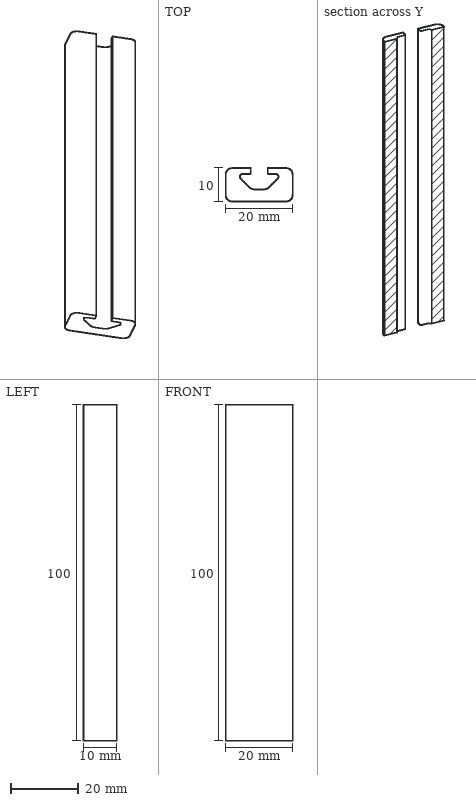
import cadquery as cq

width = 20.0
depth = 10.0
length = 100.0
corner_radius = 2.0

slot_opening = 5.0
lip_thickness = 1.8
lip_radius = 0.35
slot_depth = 6.35
floor_width = 4.6
shoulder_radius = 0.8
floor_radius = 2.5

face_y = depth / 2
shoulder_y = face_y - lip_thickness
floor_y = face_y - slot_depth
shoulder_width = floor_width + 2 * (shoulder_y - floor_y)


def bar():
    """Full-length bar with rounded lengthwise edges."""
    return cq.Workplane("XY").box(width, depth, length).edges("|Z").fillet(corner_radius)


def slot_cavity():
    """Trapezoidal channel behind the lips, with rounded inner corners."""
    outline = [
        (-shoulder_width / 2, shoulder_y),
        (-floor_width / 2, floor_y),
        (floor_width / 2, floor_y),
        (shoulder_width / 2, shoulder_y),
    ]
    cavity = (
        cq.Workplane("XY")
        .workplane(offset=-length / 2)
        .polyline(outline)
        .close()
        .extrude(length)
    )
    cavity = cavity.faces("<Y").edges("|Z").fillet(floor_radius)
    return cavity.faces(">Y").edges("|Z").fillet(shoulder_radius)


def slot_mouth():
    """Straight opening between the two lips."""
    mouth_y = face_y - lip_thickness / 2
    return cq.Workplane("XY").box(slot_opening, lip_thickness, length).translate((0, mouth_y, 0))


def round_lips(rail):
    """Round the inner lengthwise edge of both lips."""
    for side in (-1, 1):
        lip_edge = cq.NearestToPointSelector((side * slot_opening / 2, shoulder_y, 0))
        rail = rail.edges("|Z").edges(lip_edge).fillet(lip_radius)
    return rail


result = round_lips(bar().cut(slot_cavity()).cut(slot_mouth()))